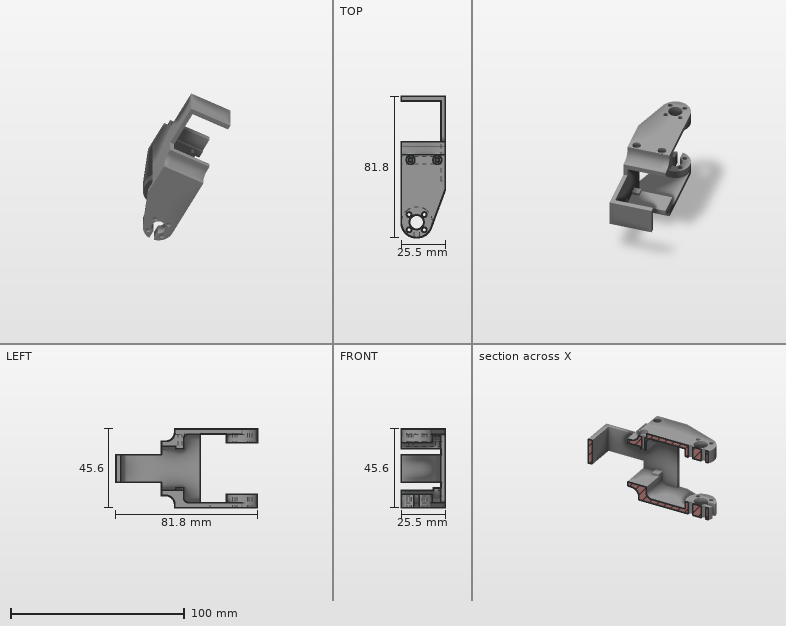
import cadquery as cq
import math


width = 25.5
height = 45.6
half_height = height / 2
wall_thickness = 2.5
inner_wall_x = width - wall_thickness

arm_thickness = 3.0
boss_radius = 9.0
boss_height = 8.0
pivot_x = boss_radius
bore_diameter = 8.2
bolt_hole_diameter = 2.7
bolt_square = 8.8
taper_start_y = 18.7

block_front_y = 33.7
arm_back_y = 38.9
block_back_y = 46.5
lip_drop = 7.1
lip_thickness = 3.0
outer_fillet = 5.0
inner_fillet = 3.0
lip_inner_z = half_height - lip_drop - lip_thickness

ridge_height = 1.5
ridge_length = 4.4
lower_step_width = 4.4

wall_front_y = 24.0
hook_back_y = 72.8
hook_thickness = 3.0
hook_height = 16.0

screw_hole_diameter = 2.5
counterbore_diameter = 5.0
counterbore_depth = 3.0
screw_spacing = 15.4
first_screw_x = 5.5
screw_y = block_front_y + ridge_length / 2

slot_width = 3.0
slot_center_x = 8.9


def box_between(x_range, y_range, z_range):
    """Axis-aligned box given by its limits along each axis."""
    sizes = [high - low for low, high in (x_range, y_range, z_range)]
    corner = (x_range[0], y_range[0], z_range[0])
    return cq.Workplane("XY").box(*sizes, centered=False).translate(corner)


def arm_plan():
    """Plan of an arm and its root block behind the boss, extruded over the upper half height.

    The front edge is a chord inside the boss, which gives the arm its round end.
    """
    run_x = width - pivot_x
    corner_distance = math.hypot(run_x, taper_start_y)
    tangent_angle = math.atan2(taper_start_y, run_x) - math.acos(boss_radius / corner_distance)
    tangent_x = pivot_x + boss_radius * math.cos(tangent_angle)
    tangent_y = boss_radius * math.sin(tangent_angle)
    return (
        cq.Workplane("XY")
        .moveTo(0, 0)
        .lineTo(tangent_x, tangent_y)
        .lineTo(width, taper_start_y)
        .lineTo(width, block_back_y)
        .lineTo(0, block_back_y)
        .close()
        .extrude(half_height)
    )


def arm_side():
    """Side profile of the upper arm and root block, extruded across the width."""
    arm_inner_z = half_height - arm_thickness
    lip_outer_z = half_height - lip_drop
    diagonal = math.sqrt(0.5)
    outer_center = (arm_back_y + outer_fillet, lip_outer_z + outer_fillet)
    inner_center = (block_front_y - inner_fillet, arm_inner_z - inner_fillet)
    outer_mid = tuple(c - outer_fillet * diagonal for c in outer_center)
    inner_mid = tuple(c + inner_fillet * diagonal for c in inner_center)
    return (
        cq.Workplane("YZ")
        .moveTo(-boss_radius, half_height)
        .lineTo(arm_back_y, half_height)
        .lineTo(arm_back_y, outer_center[1])
        .threePointArc(outer_mid, (outer_center[0], lip_outer_z))
        .lineTo(block_back_y, lip_outer_z)
        .lineTo(block_back_y, lip_inner_z)
        .lineTo(block_front_y, lip_inner_z)
        .lineTo(block_front_y, inner_center[1])
        .threePointArc(inner_mid, (inner_center[0], arm_inner_z))
        .lineTo(-boss_radius, arm_inner_z)
        .close()
        .extrude(width)
    )


def upper_arm():
    """Upper arm with its root block and pivot boss."""
    boss = (
        cq.Workplane("XY", origin=(pivot_x, 0, half_height - boss_height))
        .circle(boss_radius)
        .extrude(boss_height)
    )
    return arm_plan().intersect(arm_side()).union(boss)


def ridges():
    """Full-width ridge on the upper block and short step on the lower block."""
    y_range = (block_front_y, block_front_y + ridge_length)
    ridge_inner_z = lip_inner_z - ridge_height
    upper = box_between((0, width), y_range, (ridge_inner_z, lip_inner_z))
    step_x = (inner_wall_x - lower_step_width, width)
    lower = box_between(step_x, y_range, (-lip_inner_z, -ridge_inner_z))
    return upper.union(lower)


def side_wall():
    """Wall that joins the two arms along the +X side."""
    x_range = (inner_wall_x, width)
    arm_gap_z = half_height - arm_thickness
    between_arms = box_between(x_range, (wall_front_y, block_front_y), (-arm_gap_z, arm_gap_z))
    between_blocks = box_between(x_range, (block_front_y, block_back_y), (-lip_inner_z, lip_inner_z))
    return between_arms.union(between_blocks)


def rear_hook():
    """L-shaped strap running back from the side wall and across the width."""
    z_range = (-hook_height / 2, hook_height / 2)
    strap = box_between((inner_wall_x, width), (block_back_y, hook_back_y), z_range)
    cross = box_between((0, width), (hook_back_y - hook_thickness, hook_back_y), z_range)
    return strap.union(cross)


def pivot_holes():
    """Centre bore and four bolt holes, through both bosses."""
    base = cq.Workplane("XY", origin=(pivot_x, 0, -half_height))
    bore = base.circle(bore_diameter / 2).extrude(height)
    bolts = (
        base.rect(bolt_square, bolt_square, forConstruction=True)
        .vertices()
        .circle(bolt_hole_diameter / 2)
        .extrude(height)
    )
    return bore.union(bolts)


def screw_holes():
    """Two screw holes through the upper block, counterbored from its outer face."""
    centers = [(first_screw_x + i * screw_spacing, screw_y) for i in range(2)]
    top = cq.Workplane("XY", origin=(0, 0, half_height)).pushPoints(centers)
    shafts = top.circle(screw_hole_diameter / 2).extrude(-half_height)
    counterbores = top.circle(counterbore_diameter / 2).extrude(-counterbore_depth)
    return shafts.union(counterbores)


def cable_slot():
    """Slot from the pivot bore out through the front of the lower boss."""
    x_range = (slot_center_x - slot_width / 2, slot_center_x + slot_width / 2)
    return box_between(x_range, (-boss_radius, 0), (-half_height, boss_height - half_height))


arm = upper_arm()
body = arm.union(arm.mirror("XY")).union(ridges()).union(side_wall()).union(rear_hook())
result = body.cut(pivot_holes()).cut(screw_holes()).cut(cable_slot())